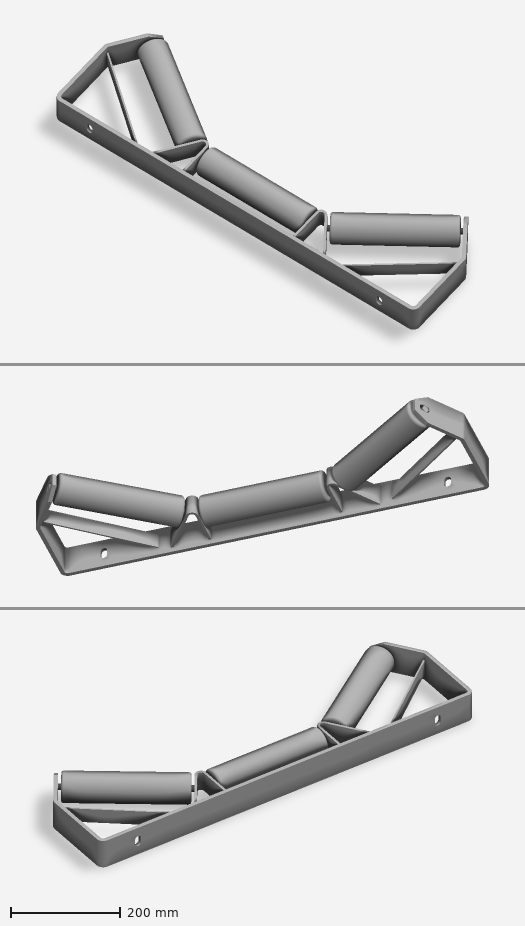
import cadquery as cq
import math


FRAME_WIDTH = 830.0
FRAME_DEPTH = 247.0
TROUGH_ANGLE = 35.0
STRIP_HEIGHT = 60.0
STRIP_THICK = 8.0
FRAME_BEND_RADIUS = 14.0
ARM_BEND_Y = 156.0
TIP_HEIGHT = 25.0
TIP_TAPER_LENGTH = 30.0
SLOT_LENGTH = 22.0
SLOT_WIDTH = 13.0
MOUNT_SLOT_X = 333.0
ARM_SLOT_Y = 229.0

BRACKET_HEIGHT = 40.0
BRACKET_THICK = 5.0
BRACKET_BEND_RADIUS = 12.0
BRACKET_UPRIGHT_X = 124.5
BRACKET_FOOT_X = 203.0

BRACE_THICK = 3.0
BRACE_HEIGHT = 30.0
BRACE_TOP_Y = 151.0
BRACE_FOOT_X = 228.0

ROLLER_DIAMETER = 60.0
ROLLER_LENGTH = 239.0
ROLLER_RIM_RADIUS = 5.0
SHAFT_DIAMETER = 12.5
MIDDLE_AXIS_Y = 70.5
SIDE_AXIS_Y = 227.5
BRACKET_SHAFT_DROP = 2.5
ARM_SHAFT_DROP = 0.03

half_width = FRAME_WIDTH / 2
side_inner_x = half_width - STRIP_THICK
trough = math.radians(TROUGH_ANGLE)
arm_dir = cq.Vector(math.sin(trough), math.cos(trough), 0)
arm_normal = cq.Vector(math.cos(trough), -math.sin(trough), 0)


def arm_point(y):
    """Point on the outer face of the left arm at depth y."""
    return cq.Vector(-half_width + (y - ARM_BEND_Y) * math.tan(trough), y, 0)


def arm_plane(y):
    """Plane on the outer face of the left arm: local x toward the tip, normal through the strip."""
    return cq.Plane(origin=arm_point(y), xDir=arm_dir, normal=arm_normal)


def left_offset(points, distance):
    """Path shifted to the left of its direction of travel, with mitred corners."""
    headings = [math.atan2(q[1] - p[1], q[0] - p[0]) for p, q in zip(points, points[1:])]
    before = headings[:1] + headings
    after = headings + headings[-1:]
    shifted = []
    for (x, y), start, end in zip(points, before, after):
        miter = distance / math.cos((end - start) / 2)
        normal = (start + end) / 2 + math.pi / 2
        shifted.append((x + miter * math.cos(normal), y + miter * math.sin(normal)))
    return shifted


def bent_strip(outer, height, thickness, outer_radius):
    """Upright strip centred on mid-height, left of its outer path, with concentric bends."""
    inner = left_offset(outer, thickness)
    strip = cq.Workplane("XY").polyline(outer + inner[::-1]).close().extrude(height / 2, both=True)
    reach = thickness / 4
    for path, radius in ((outer, outer_radius), (inner, outer_radius - thickness)):
        for x, y in path[1:-1]:
            corner = cq.selectors.BoxSelector((x - reach, y - reach, -height), (x + reach, y + reach, height))
            strip = strip.edges(corner).fillet(radius)
    return strip


def mirror_x(body):
    return body.mirror("YZ")


def make_tip_taper(side):
    """Wedge removed above (side 1) or below (side -1) the left arm tip."""
    tip_edge = side * TIP_HEIGHT / 2
    strip_edge = side * STRIP_HEIGHT / 2
    return (
        cq.Workplane(arm_plane(FRAME_DEPTH))
        .polyline([(0, tip_edge), (0, strip_edge), (-TIP_TAPER_LENGTH, strip_edge)])
        .close()
        .extrude(STRIP_THICK)
    )


def make_frame():
    tip = arm_point(FRAME_DEPTH)
    left_path = [(tip.x, tip.y), (-half_width, ARM_BEND_Y), (-half_width, 0)]
    right_path = [(-x, y) for x, y in reversed(left_path)]
    frame = bent_strip(left_path + right_path, STRIP_HEIGHT, STRIP_THICK, FRAME_BEND_RADIUS)

    arm_slot = cq.Workplane(arm_plane(ARM_SLOT_Y)).slot2D(SLOT_LENGTH, SLOT_WIDTH).extrude(STRIP_THICK)
    for cutter in (arm_slot, make_tip_taper(1), make_tip_taper(-1)):
        frame = frame.cut(cutter).cut(mirror_x(cutter))

    mount_slots = (
        cq.Workplane("XZ")
        .pushPoints([(-MOUNT_SLOT_X, 0), (MOUNT_SLOT_X, 0)])
        .slot2D(SLOT_LENGTH, SLOT_WIDTH, 90)
        .extrude(-STRIP_THICK)
    )
    return frame.cut(mount_slots)


def make_roller(start, end, shell_gap):
    """Shaft from start to end carrying a round-rimmed shell that begins shell_gap along it."""
    axis_plane = cq.Plane(origin=start, normal=end - start)
    shaft = cq.Workplane(axis_plane).circle(SHAFT_DIAMETER / 2).extrude((end - start).Length)
    shell = (
        cq.Workplane(axis_plane)
        .workplane(offset=shell_gap)
        .circle(ROLLER_DIAMETER / 2)
        .extrude(ROLLER_LENGTH)
        .edges()
        .fillet(ROLLER_RIM_RADIUS)
    )
    return shell.union(shaft)


def make_middle_roller():
    """Roller along X whose shaft ends flush with the far faces of both upright legs."""
    half_shaft = BRACKET_UPRIGHT_X + BRACKET_THICK
    start = cq.Vector(-half_shaft, MIDDLE_AXIS_Y, -BRACKET_SHAFT_DROP)
    end = cq.Vector(half_shaft, MIDDLE_AXIS_Y, -BRACKET_SHAFT_DROP)
    return make_roller(start, end, half_shaft - ROLLER_LENGTH / 2)


def make_left_roller():
    """Roller square to the arm, from its outer face to the far face of the sloping leg."""
    bracket_foot = cq.Vector(-BRACKET_FOOT_X, STRIP_THICK, 0)
    leg_distance = (bracket_foot - arm_point(ARM_BEND_Y)).dot(arm_normal)
    start = arm_point(SIDE_AXIS_Y)
    end = start + arm_normal * (leg_distance + BRACKET_THICK)
    start.z = -ARM_SHAFT_DROP
    end.z = -BRACKET_SHAFT_DROP
    end_gap = (leg_distance - STRIP_THICK - ROLLER_LENGTH) / 2
    return make_roller(start, end, STRIP_THICK + end_gap)


def make_left_bracket(frame, shafts):
    """Folded strip standing on the front bar, with holes fitting the shafts it carries."""
    apex_y = STRIP_THICK + (BRACKET_FOOT_X - BRACKET_UPRIGHT_X) / math.tan(trough)
    outer = [
        (-BRACKET_UPRIGHT_X, STRIP_THICK),
        (-BRACKET_UPRIGHT_X, apex_y),
        (-BRACKET_FOOT_X, STRIP_THICK),
    ]
    bracket = bent_strip(outer, BRACKET_HEIGHT, BRACKET_THICK, BRACKET_BEND_RADIUS)
    bracket = bracket.cut(frame)
    for shaft in shafts:
        bracket = bracket.cut(shaft)
    return bracket


def make_left_brace():
    """Square-ended flat bar whose lower edge runs from the frame side to the front bar."""
    run = side_inner_x - BRACE_FOOT_X
    drop = BRACE_TOP_Y - STRIP_THICK
    lower_edge = cq.Plane(origin=(-side_inner_x, BRACE_TOP_Y, 0), xDir=(run, -drop, 0), normal=(0, 0, 1))
    return (
        cq.Workplane(lower_edge)
        .rect(math.hypot(run, drop), BRACE_THICK, centered=False)
        .extrude(BRACE_HEIGHT / 2, both=True)
    )


frame = make_frame()
middle_roller = make_middle_roller()
left_roller = make_left_roller()
left_bracket = make_left_bracket(frame, [left_roller, middle_roller])
left_brace = make_left_brace()

bodies = [*frame.solids().vals(), *middle_roller.solids().vals()]
for left_body in (left_roller, left_bracket, left_brace):
    bodies.extend(left_body.solids().vals())
    bodies.extend(mirror_x(left_body).solids().vals())

result = cq.Compound.makeCompound(bodies)